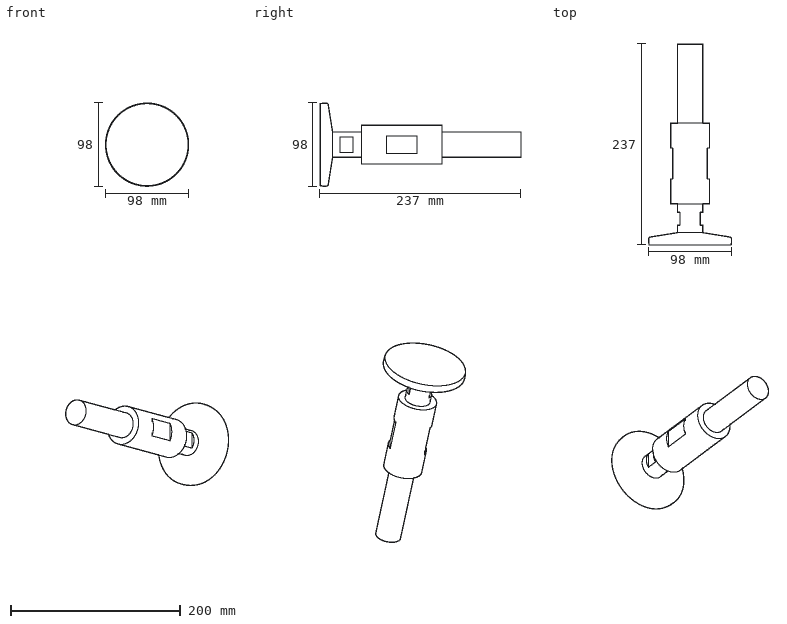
import cadquery as cq

TOTAL_LENGTH = 237.0

DISC_DIAMETER = 98.0
UNDERSIDE_INSET = 0.7
LOWER_BAND_HEIGHT = 3.5
RIM_CORNER_HEIGHT = 9.5
CONE_TOP_HEIGHT = 15.0
RIM_ROUND_RADIUS = 2.5

SPINDLE_DIAMETER = 30.0
SPINDLE_FLATS_START = 23.7
SPINDLE_FLATS_LENGTH = 15.0
SPINDLE_ACROSS_FLATS = 24.0

SLEEVE_DIAMETER = 46.0
SLEEVE_START = 48.8
SLEEVE_LENGTH = 95.0
SLEEVE_FLATS_LENGTH = 36.0
SLEEVE_ACROSS_FLATS = 41.0


def cylinder_along_y(diameter, start, length):
    """Solid cylinder about the Y axis, running from start towards +Y."""
    return cq.Workplane("XZ", origin=(0, start, 0)).circle(diameter / 2).extrude(-length)


def cut_wrench_flats(body, diameter, across_flats, start, length):
    """Cut two opposite flats, facing -X and +X, into a round body."""
    depth = (diameter - across_flats) / 2
    center_offset = across_flats / 2 + depth / 2
    for side in (-1, 1):
        cutter = cq.Workplane("XY").box(depth, length, diameter).translate(
            (side * center_offset, start + length / 2, 0)
        )
        body = body.cut(cutter)
    return body


def make_base_disc():
    """Revolved disc with a tapered lower band, a rounded rim and a conical top."""
    rim_radius = DISC_DIAMETER / 2
    disc = (
        cq.Workplane("XY")
        .moveTo(0, 0)
        .lineTo(rim_radius - UNDERSIDE_INSET, 0)
        .lineTo(rim_radius, LOWER_BAND_HEIGHT)
        .lineTo(rim_radius, RIM_CORNER_HEIGHT)
        .lineTo(SPINDLE_DIAMETER / 2, CONE_TOP_HEIGHT)
        .lineTo(0, CONE_TOP_HEIGHT)
        .close()
        .revolve(360, (0, 0, 0), (0, 1, 0))
    )
    rim_edge = cq.selectors.NearestToPointSelector((0, RIM_CORNER_HEIGHT, 0))
    return disc.edges(rim_edge).fillet(RIM_ROUND_RADIUS)


def make_spindle_foot():
    """Base disc and round spindle in one piece, with flats just above the disc."""
    spindle = cylinder_along_y(SPINDLE_DIAMETER, CONE_TOP_HEIGHT, TOTAL_LENGTH - CONE_TOP_HEIGHT)
    spindle = cut_wrench_flats(
        spindle, SPINDLE_DIAMETER, SPINDLE_ACROSS_FLATS, SPINDLE_FLATS_START, SPINDLE_FLATS_LENGTH
    )
    return make_base_disc().union(spindle)


def make_sleeve():
    """Tube that fits around the spindle, with flats centred along its length."""
    flats_start = SLEEVE_START + (SLEEVE_LENGTH - SLEEVE_FLATS_LENGTH) / 2
    sleeve = cylinder_along_y(SLEEVE_DIAMETER, SLEEVE_START, SLEEVE_LENGTH)
    sleeve = cut_wrench_flats(
        sleeve, SLEEVE_DIAMETER, SLEEVE_ACROSS_FLATS, flats_start, SLEEVE_FLATS_LENGTH
    )
    return sleeve.cut(cylinder_along_y(SPINDLE_DIAMETER, SLEEVE_START, SLEEVE_LENGTH))


spindle_foot = make_spindle_foot()
sleeve = make_sleeve()

result = cq.Compound.makeCompound([spindle_foot.val(), sleeve.val()])